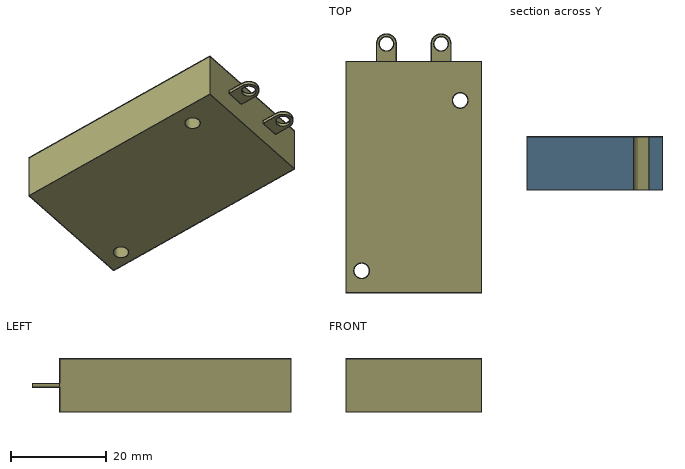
import cadquery as cq

HOUSING_WIDTH = 28.6
HOUSING_LENGTH = 48.7
HOUSING_HEIGHT = 11.3

MOUNT_HOLE_DIAMETER = 3.2
FRONT_HOLE_FROM_LEFT = 3.3
FRONT_HOLE_FROM_FRONT = 4.65
REAR_HOLE_FROM_RIGHT = 4.5
REAR_HOLE_FROM_REAR = 8.2

OVERALL_LENGTH = 54.5
TERMINAL_LENGTH = OVERALL_LENGTH - HOUSING_LENGTH
TERMINAL_WIDTH = 4.2
TERMINAL_THICKNESS = 0.8
TERMINAL_HOLE_DIAMETER = 3.0
TERMINAL_SPACING = 11.5


def make_housing():
    """Rectangular block with two diagonally placed mounting holes."""
    left = -HOUSING_WIDTH / 2
    right = HOUSING_WIDTH / 2
    hole_centres = [
        (left + FRONT_HOLE_FROM_LEFT, FRONT_HOLE_FROM_FRONT),
        (right - REAR_HOLE_FROM_RIGHT, HOUSING_LENGTH - REAR_HOLE_FROM_REAR),
    ]
    block = cq.Workplane("XY").box(
        HOUSING_WIDTH, HOUSING_LENGTH, HOUSING_HEIGHT, centered=(True, False, True)
    )
    holes = (
        cq.Workplane("XY")
        .pushPoints(hole_centres)
        .circle(MOUNT_HOLE_DIAMETER / 2)
        .extrude(HOUSING_HEIGHT / 2, both=True)
    )
    return block.cut(holes)


def make_terminal(centre_x):
    """Flat tab with a full-round tip and a hole concentric with the tip."""
    tip_radius = TERMINAL_WIDTH / 2
    straight_length = TERMINAL_LENGTH - tip_radius
    tab = (
        cq.Workplane("XY")
        .moveTo(-tip_radius, 0)
        .lineTo(tip_radius, 0)
        .lineTo(tip_radius, straight_length)
        .threePointArc((0, TERMINAL_LENGTH), (-tip_radius, straight_length))
        .close()
        .extrude(TERMINAL_THICKNESS / 2, both=True)
    )
    hole = (
        cq.Workplane("XY")
        .center(0, straight_length)
        .circle(TERMINAL_HOLE_DIAMETER / 2)
        .extrude(TERMINAL_THICKNESS / 2, both=True)
    )
    return tab.cut(hole).translate((centre_x, HOUSING_LENGTH, 0))


housing = make_housing()
terminals = [make_terminal(side * TERMINAL_SPACING / 2) for side in (-1, 1)]

result = cq.Compound.makeCompound([housing.val(), *[terminal.val() for terminal in terminals]])